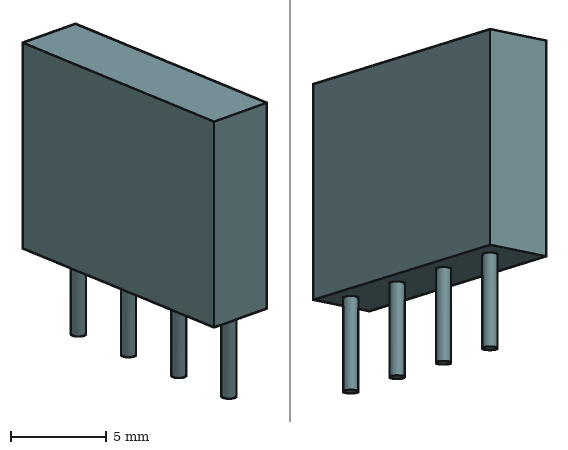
import cadquery as cq

housing_width = 14.73
housing_depth = 3.8
total_height = 16.78
pin_length = 5.08
housing_height = total_height - pin_length

pin_count = 4
pin_diameter = 0.8
pin_pitch = 3.86
pin_row_y = 0.64


def make_housing():
    """Block with its bottom face on Z = 0, centred in X and Y."""
    return cq.Workplane("XY").box(
        housing_width, housing_depth, housing_height, centered=(True, True, False)
    )


def make_pin(x):
    """Round pin hanging from the bottom face of the housing."""
    return cq.Workplane("XY").center(x, pin_row_y).circle(pin_diameter / 2).extrude(-pin_length)


housing = make_housing()

first_pin_x = -pin_pitch * (pin_count - 1) / 2
pins = [make_pin(first_pin_x + i * pin_pitch) for i in range(pin_count)]

result = cq.Compound.makeCompound([housing.val(), *[pin.val() for pin in pins]])